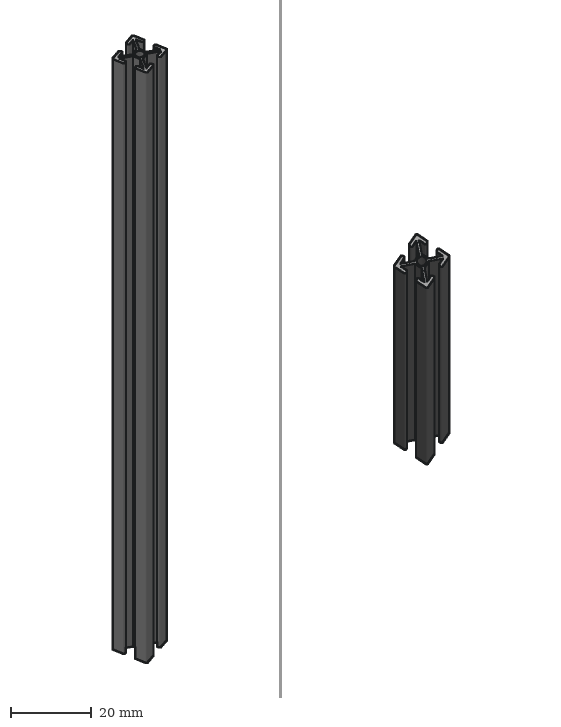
import cadquery as cq
import math

length = 200.0
width = 10.0
slot_opening = 3.0
flange_thickness = 1.0
web_thickness = 0.7
core_width = 3.0
bore_diameter = 2.5
corner_radius = 0.3
lip_radius = 0.3

half_width = width / 2
half_opening = slot_opening / 2
flange_inner = half_width - flange_thickness


def corner_flange():
    """L-shaped flange around the +X +Y corner."""
    outline = [
        (half_opening, half_width),
        (half_width, half_width),
        (half_width, half_opening),
        (flange_inner, half_opening),
        (flange_inner, flange_inner),
        (half_opening, flange_inner),
    ]
    flange = cq.Workplane("XY").polyline(outline).close().extrude(length)
    flange = flange.edges(">(1, 1, 0)").fillet(corner_radius)
    flange = flange.faces("<X").edges("|Z").fillet(lip_radius)
    return flange.faces("<Y").edges("|Z").fillet(lip_radius)


def diagonal_web():
    """Web from the beam axis into the +X +Y corner flange."""
    reach = math.sqrt(2) * (half_width - flange_thickness / 2)
    web = cq.Workplane("XY").rect(reach, web_thickness).extrude(length)
    return web.translate((reach / 2, 0, 0)).rotate((0, 0, 0), (0, 0, 1), 45)


beam = cq.Workplane("XY").rect(core_width, core_width).extrude(length)
arm = corner_flange().union(diagonal_web())
for quarter in range(4):
    beam = beam.union(arm.rotate((0, 0, 0), (0, 0, 1), 90 * quarter))

bore = cq.Workplane("XY").circle(bore_diameter / 2).extrude(length)
result = beam.cut(bore)